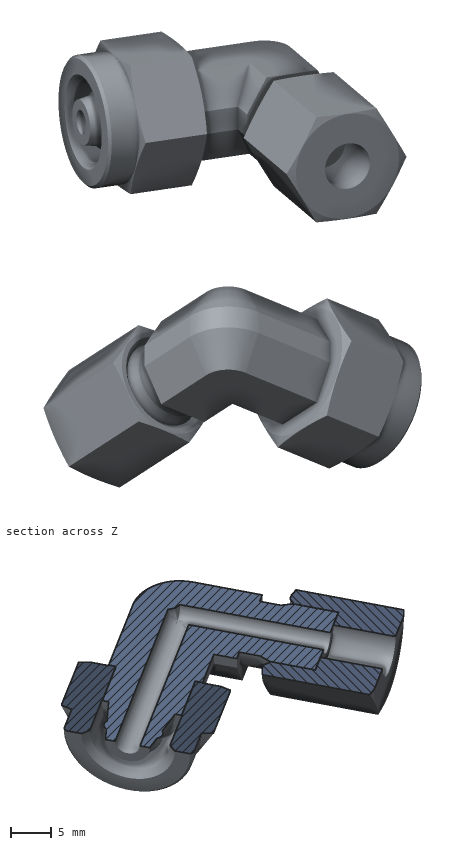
import cadquery as cq
import math


OVERALL_LENGTH = 36.8

SWIVEL_NUT_FLATS = 17.0
TUBE_NUT_FLATS = 14.0
NUT_BEVEL_ANGLE = 15.0
BEVEL_START_RATIO = 0.99

BLOCK_HALF_WIDTH = 6.07
BLOCK_HALF_HEIGHT = 6.05
TOP_FLAT_HALF_WIDTH = 3.42
SIDE_FLAT_HALF_HEIGHT = 1.5
TUBE_LEG_LENGTH = 9.02
SWIVEL_LEG_LENGTH = 11.4
FLOW_BORE_RADIUS = 1.6
FLOW_BORE_OVERRUN = 0.35
DRILL_POINT_ANGLE = 118.0

TUBE_NUT_START = 12.48
NECK_RADIUS = 4.85
NECK_END = 11.67
FLARE_ANGLE = 24.0
SPIGOT_RADIUS = 5.52
SPIGOT_END = 19.0
TUBE_HOLE_RADIUS = 3.02
TUBE_COUNTERSINK_RADIUS = 6.25

SWIVEL_HEX_END = 20.4
SWIVEL_NUT_END = 24.35
SWIVEL_RIM_RADIUS = 8.4
SWIVEL_RIM_CHAMFER = 0.35
SWIVEL_BORE_RADIUS = 5.15
SWIVEL_COUNTERSINK_RADIUS = 6.0
SWIVEL_COUNTERSINK_DEPTH = 0.85
STEM_TIP = 24.63
STEM_TIP_RADIUS = 2.87
STEM_ROOT_RADIUS = 4.3
STEM_CONE_ANGLE = 12.0
SEAL_START_RADIUS = 3.28
SEAL_CREST_RADIUS = 3.8
SEAL_LENGTH = 1.47

TUBE_NUT_END = OVERALL_LENGTH - SWIVEL_NUT_FLATS / math.sqrt(3)
DRILL_POINT_LENGTH = FLOW_BORE_RADIUS / math.tan(math.radians(DRILL_POINT_ANGLE / 2))
FLARE_END = NECK_END + (SPIGOT_RADIUS - NECK_RADIUS) / math.tan(math.radians(FLARE_ANGLE))


def revolve_about_x(profile):
    """Solid of revolution of a closed profile of (x, radius)."""
    return profile.close().revolve(360, (0, 0, 0), (1, 0, 0))


def turned(points):
    """Turned solid from straight (x, radius) points."""
    return revolve_about_x(cq.Workplane("XY").polyline(points))


def turn_to_swivel_side(shape):
    return shape.rotate((0, 0, 0), (0, 0, 1), -90)


def bevelled_hexagon(start, end, flats):
    """Hexagonal bar along X, corners at +Y and -Y, with both ends bevelled."""
    corner_radius = flats / math.sqrt(3)
    bevel_radius = BEVEL_START_RATIO * flats / 2
    bevel_depth = (corner_radius - bevel_radius) * math.tan(math.radians(NUT_BEVEL_ANGLE))
    bar = cq.Workplane("YZ").workplane(offset=start).polygon(6, 2 * corner_radius).extrude(end - start)
    envelope = turned([
        (start, 0),
        (start, bevel_radius),
        (start + bevel_depth, corner_radius),
        (end - bevel_depth, corner_radius),
        (end, bevel_radius),
        (end, 0),
    ])
    return bar.intersect(envelope)


def make_tube_nut():
    """Nut with a countersunk mouth, a bore around the spigot and a smaller tube hole."""
    hexagon = bevelled_hexagon(TUBE_NUT_START, TUBE_NUT_END, TUBE_NUT_FLATS)
    opening = turned([
        (TUBE_NUT_START, 0),
        (TUBE_NUT_START, TUBE_COUNTERSINK_RADIUS),
        (FLARE_END, SPIGOT_RADIUS),
        (SPIGOT_END, SPIGOT_RADIUS),
        (SPIGOT_END, TUBE_HOLE_RADIUS),
        (TUBE_NUT_END, TUBE_HOLE_RADIUS),
        (TUBE_NUT_END, 0),
    ])
    return hexagon.cut(opening)


def make_swivel_nut():
    """Nut with a round chamfered rim and a through bore countersunk at the open end."""
    hexagon = bevelled_hexagon(SWIVEL_LEG_LENGTH, SWIVEL_HEX_END, SWIVEL_NUT_FLATS)
    rim = turned([
        (SWIVEL_HEX_END, 0),
        (SWIVEL_HEX_END, SWIVEL_RIM_RADIUS),
        (SWIVEL_NUT_END - SWIVEL_RIM_CHAMFER, SWIVEL_RIM_RADIUS),
        (SWIVEL_NUT_END, SWIVEL_RIM_RADIUS - SWIVEL_RIM_CHAMFER),
        (SWIVEL_NUT_END, 0),
    ])
    bore = turned([
        (SWIVEL_LEG_LENGTH, 0),
        (SWIVEL_LEG_LENGTH, SWIVEL_BORE_RADIUS),
        (SWIVEL_NUT_END - SWIVEL_COUNTERSINK_DEPTH, SWIVEL_BORE_RADIUS),
        (SWIVEL_NUT_END, SWIVEL_COUNTERSINK_RADIUS),
        (SWIVEL_NUT_END, 0),
    ])
    return turn_to_swivel_side(hexagon.union(rim).cut(bore))


def block_leg(length):
    """Leg with an eight-sided section, from the corner of the elbow along X."""
    quarter = [
        (BLOCK_HALF_WIDTH, SIDE_FLAT_HALF_HEIGHT),
        (TOP_FLAT_HALF_WIDTH, BLOCK_HALF_HEIGHT),
    ]
    upper = quarter + [(-y, z) for y, z in reversed(quarter)]
    lower = [(-y, -z) for y, z in upper]
    return cq.Workplane("YZ").polyline(upper + lower).close().extrude(length)


def block_corner():
    """Rounded outer corner: the leg section turned about the Z axis."""
    half_section = [
        (0, BLOCK_HALF_HEIGHT),
        (TOP_FLAT_HALF_WIDTH, BLOCK_HALF_HEIGHT),
        (BLOCK_HALF_WIDTH, SIDE_FLAT_HALF_HEIGHT),
        (BLOCK_HALF_WIDTH, -SIDE_FLAT_HALF_HEIGHT),
        (TOP_FLAT_HALF_WIDTH, -BLOCK_HALF_HEIGHT),
        (0, -BLOCK_HALF_HEIGHT),
    ]
    return cq.Workplane("XZ").polyline(half_section).close().revolve(360, (0, 0, 0), (0, 1, 0))


def tube_spigot():
    """Round neck that flares out to the spigot inside the tube nut."""
    return turned([
        (0, 0),
        (0, NECK_RADIUS),
        (NECK_END, NECK_RADIUS),
        (FLARE_END, SPIGOT_RADIUS),
        (SPIGOT_END, SPIGOT_RADIUS),
        (SPIGOT_END, 0),
    ])


def swivel_stem():
    """Collar filling the swivel nut bore, then a tapered nose with a rounded sealing bead."""
    taper = math.tan(math.radians(STEM_CONE_ANGLE))
    root = STEM_TIP - (STEM_ROOT_RADIUS - STEM_TIP_RADIUS) / taper
    seal_front = STEM_TIP - (SEAL_START_RADIUS - STEM_TIP_RADIUS) / taper
    seal_back = seal_front - SEAL_LENGTH
    seal_back_radius = SEAL_START_RADIUS + SEAL_LENGTH * taper
    profile = (
        cq.Workplane("XY")
        .moveTo(0, 0)
        .lineTo(0, SWIVEL_BORE_RADIUS)
        .lineTo(root, SWIVEL_BORE_RADIUS)
        .lineTo(root, STEM_ROOT_RADIUS)
        .lineTo(seal_back, seal_back_radius)
        .threePointArc(((seal_front + seal_back) / 2, SEAL_CREST_RADIUS), (seal_front, SEAL_START_RADIUS))
        .lineTo(STEM_TIP, STEM_TIP_RADIUS)
        .lineTo(STEM_TIP, 0)
    )
    return turn_to_swivel_side(revolve_about_x(profile))


def flow_bore(end):
    """Drilling from the open end of a leg to just past the corner, with a conical bottom."""
    return turned([
        (-FLOW_BORE_OVERRUN - DRILL_POINT_LENGTH, 0),
        (-FLOW_BORE_OVERRUN, FLOW_BORE_RADIUS),
        (end, FLOW_BORE_RADIUS),
        (end, 0),
    ])


def make_elbow_body():
    block = (
        block_corner()
        .union(block_leg(TUBE_LEG_LENGTH))
        .union(turn_to_swivel_side(block_leg(SWIVEL_LEG_LENGTH)))
    )
    body = block.union(tube_spigot()).union(swivel_stem())
    return body.cut(flow_bore(SPIGOT_END)).cut(turn_to_swivel_side(flow_bore(STEM_TIP)))


elbow_body = make_elbow_body()
tube_nut = make_tube_nut()
swivel_nut = make_swivel_nut()

result = cq.Compound.makeCompound([elbow_body.val(), tube_nut.val(), swivel_nut.val()])